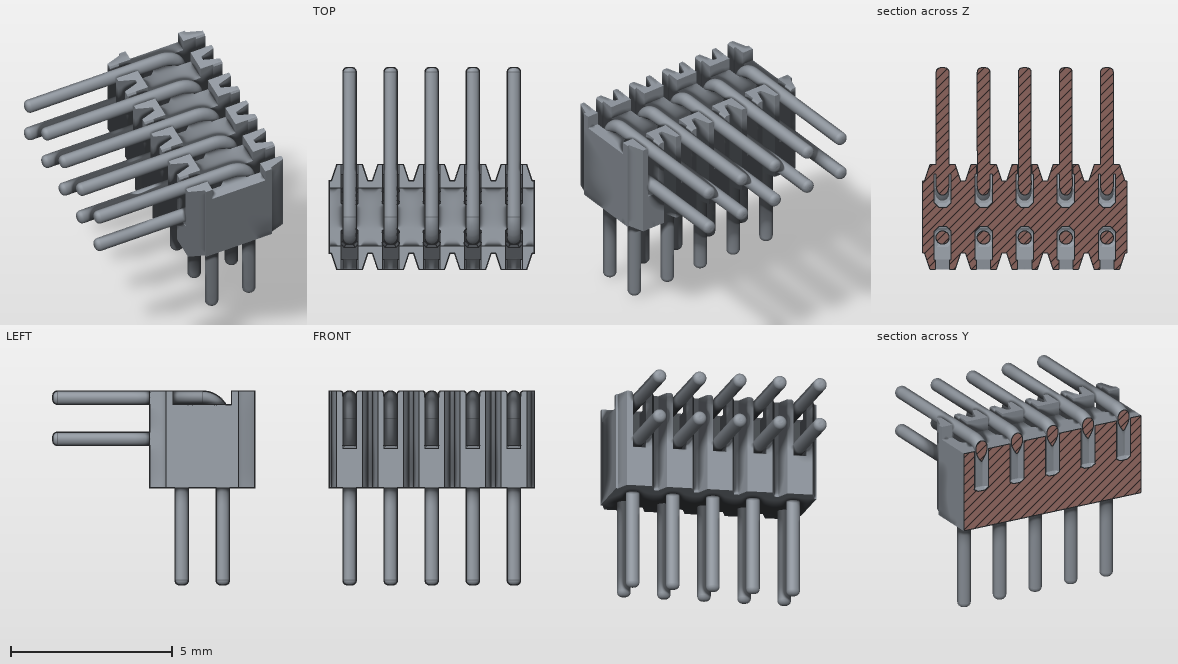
import cadquery as cq
import math


pitch = 1.27
columns = 5
body_width_y = 3.25
body_height = 3.0
pin_diameter = 0.42
pin_reach = 3.0
pin_tip_round = 0.15

groove_depth = 0.5
groove_floor_width = 0.14
groove_mouth_width = 0.475

recess_wall = 0.725

channel_width = 0.52
channel_end_reach = 0.33
channel_corner = 0.14

mouth_length = 0.31
mouth_chamfer = 0.05
mouth_floor_drop = 0.09

funnel_depth = 0.085
funnel_half_width = 0.3
funnel_corner_ratio = 0.43

row_pitch = pitch
bend_radius = pitch / 2
body_length_x = columns * pitch
half_y = body_width_y / 2
pin_radius = pin_diameter / 2
upper_pin_z = body_height - pin_radius
lower_pin_z = upper_pin_z - row_pitch
front_pin_y = -row_pitch / 2
back_pin_y = row_pitch / 2
recess_floor_z = body_height - pin_diameter
channel_floor_z = lower_pin_z - pin_radius
column_x = [(i - (columns - 1) / 2) * pitch for i in range(columns)]


def make_block():
    """Plain body block with the recess across its top."""
    block = cq.Workplane("XY").box(body_length_x, body_width_y, body_height, centered=(True, True, False))
    recess = (
        cq.Workplane("XY", origin=(0, 0, recess_floor_z))
        .box(body_length_x, body_width_y - 2 * recess_wall, pin_diameter, centered=(True, True, False))
    )
    return block.cut(recess)


def make_groove(x):
    """Full-height tapered groove in the -Y face."""
    return (
        cq.Workplane("XY")
        .polyline([
            (x - groove_mouth_width / 2, -half_y),
            (x + groove_mouth_width / 2, -half_y),
            (x + groove_floor_width / 2, -half_y + groove_depth),
            (x - groove_floor_width / 2, -half_y + groove_depth),
        ])
        .close()
        .extrude(body_height)
    )


def octagon(workplane, half_width):
    """Square of the given half width with 45 degree corners."""
    edge = half_width * (1 - funnel_corner_ratio)
    return workplane.polyline([
        (half_width, edge), (edge, half_width), (-edge, half_width), (-half_width, edge),
        (-half_width, -edge), (-edge, -half_width), (edge, -half_width), (half_width, -edge),
    ]).close()


def make_channel(x):
    """Pin channel open to the -Y face: narrow mouth, wide inner part and floor funnel."""
    half_width = channel_width / 2
    inner_start = -half_y + mouth_length
    inner_end = front_pin_y + channel_end_reach
    inner = (
        cq.Workplane("XY", origin=(x, 0, channel_floor_z))
        .polyline([
            (-half_width, inner_start),
            (half_width, inner_start),
            (half_width, inner_end - channel_corner),
            (half_width - channel_corner, inner_end),
            (channel_corner - half_width, inner_end),
            (-half_width, inner_end - channel_corner),
        ])
        .close()
        .extrude(body_height - channel_floor_z)
    )

    mouth = (
        cq.Workplane("YZ", origin=(x, 0, 0))
        .polyline([
            (-half_y, channel_floor_z - mouth_floor_drop),
            (inner_start, channel_floor_z),
            (inner_start, body_height),
            (-half_y, body_height),
        ])
        .close()
        .extrude(pin_radius, both=True)
    )
    mouth_lead_in = (
        cq.Workplane("XZ", origin=(x, inner_start, 0))
        .polyline([
            (-pin_radius, body_height - mouth_chamfer),
            (pin_radius, body_height - mouth_chamfer),
            (pin_radius + mouth_chamfer, body_height),
            (-pin_radius - mouth_chamfer, body_height),
        ])
        .close()
        .extrude(mouth_length)
    )

    funnel_plane = cq.Workplane("XY", origin=(x, front_pin_y, channel_floor_z - funnel_depth))
    funnel = octagon(
        octagon(funnel_plane, pin_radius).workplane(offset=funnel_depth), funnel_half_width
    ).loft(ruled=True)
    return inner.union(mouth).union(mouth_lead_in).union(funnel)


def make_pin(x, leg_y, arm_z):
    """Bent pin: leg down at leg_y, arm along +Y at arm_z, with rounded ends."""
    leg_end = (leg_y, -pin_reach)
    bend_start = (leg_y, arm_z - bend_radius)
    bend_centre_y = leg_y + bend_radius
    diagonal = bend_radius * math.sqrt(0.5)
    bend_middle = (bend_centre_y - diagonal, arm_z - bend_radius + diagonal)
    bend_end = (bend_centre_y, arm_z)
    arm_end = (half_y + pin_reach, arm_z)

    path = (
        cq.Workplane("YZ", origin=(x, 0, 0))
        .moveTo(*leg_end)
        .lineTo(*bend_start)
        .threePointArc(bend_middle, bend_end)
        .lineTo(*arm_end)
    )
    rod = cq.Workplane("XY", origin=(x, *leg_end)).circle(pin_radius).sweep(path)
    return rod.faces("<Z or >Y").edges().fillet(pin_tip_round)


result = make_block()
groove_x = [(i - columns / 2) * pitch for i in range(columns + 1)]
side_cuts = [make_groove(x) for x in groove_x] + [make_channel(x) for x in column_x]
for side_cut in side_cuts:
    result = result.cut(side_cut).cut(side_cut.mirror("XZ"))

for x in column_x:
    result = result.union(make_pin(x, front_pin_y, upper_pin_z))
    result = result.union(make_pin(x, back_pin_y, lower_pin_z))